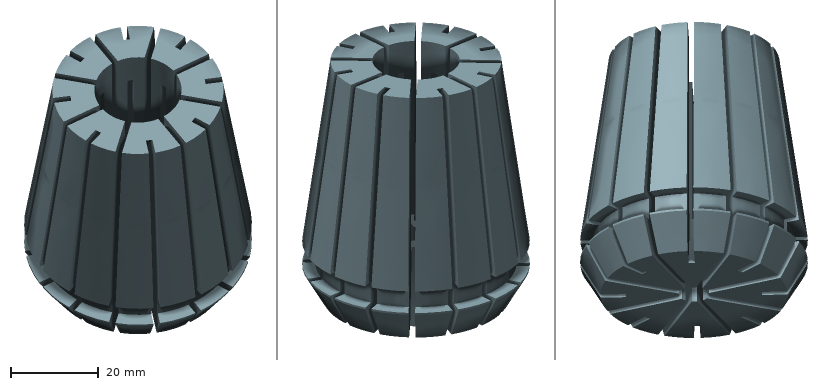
import cadquery as cq
import math

height = 60.0
max_radius = 26.0
rim_height = 0.5
nose_angle = 30.0
body_angle = 8.0

groove_bottom = 8.5
groove_top = 14.0
groove_radius = 23.0

bore_radius = 9.95
nose_hole_radius = 3.5
bore_floor = 15.9

slots_per_end = 8
slot_width = 1.5
slot_cutter_radius = 36.0
slot_inner_radius = 5.75
slot_runout_radius = 15.55
slot_clearance = 0.6

rim_bottom = groove_bottom - rim_height
nose_radius = max_radius - rim_bottom * math.tan(math.radians(nose_angle))
top_radius = max_radius - (height - groove_top) * math.tan(math.radians(body_angle))
slot_pitch = 360.0 / slots_per_end
slot_outer_radius = max_radius + slot_clearance


def collet_blank():
    """Turned outer shape with the stepped bore through it."""
    half_section = (
        cq.Workplane("XZ")
        .moveTo(nose_hole_radius, 0)
        .lineTo(nose_radius, 0)
        .lineTo(max_radius, rim_bottom)
        .lineTo(max_radius, groove_bottom)
        .lineTo(groove_radius, groove_bottom)
        .lineTo(groove_radius, groove_top)
        .lineTo(max_radius, groove_top)
        .lineTo(top_radius, height)
        .lineTo(bore_radius, height)
        .lineTo(bore_radius, bore_floor)
        .lineTo(nose_hole_radius, bore_floor)
        .close()
    )
    return half_section.revolve(360, (0, 0, 0), (0, 1, 0))


def top_slot():
    """Radial slot along +X, open at the top, whose floor curves out through the nose."""
    arc_center_radius = slot_inner_radius + slot_cutter_radius
    runout_offset = arc_center_radius - slot_runout_radius
    arc_center_z = math.sqrt(slot_cutter_radius**2 - runout_offset**2)
    mid_angle = math.asin(arc_center_z / slot_cutter_radius) / 2
    arc_middle = (
        arc_center_radius - slot_cutter_radius * math.cos(mid_angle),
        arc_center_z - slot_cutter_radius * math.sin(mid_angle),
    )
    return (
        cq.Workplane("XZ")
        .moveTo(slot_runout_radius, 0)
        .threePointArc(arc_middle, (slot_inner_radius, arc_center_z))
        .lineTo(0, arc_center_z)
        .lineTo(0, height)
        .lineTo(slot_outer_radius, height)
        .lineTo(slot_outer_radius, 0)
        .close()
        .extrude(slot_width / 2, both=True)
    )


def nose_slot():
    """The same slot turned end for end, open at the nose."""
    return top_slot().mirror("XY", (0, 0, height / 2))


result = collet_blank()
for index in range(slots_per_end):
    nose_slot_angle = index * slot_pitch
    top_slot_angle = nose_slot_angle + slot_pitch / 2
    result = result.cut(nose_slot().rotate((0, 0, 0), (0, 0, 1), nose_slot_angle))
    result = result.cut(top_slot().rotate((0, 0, 0), (0, 0, 1), top_slot_angle))